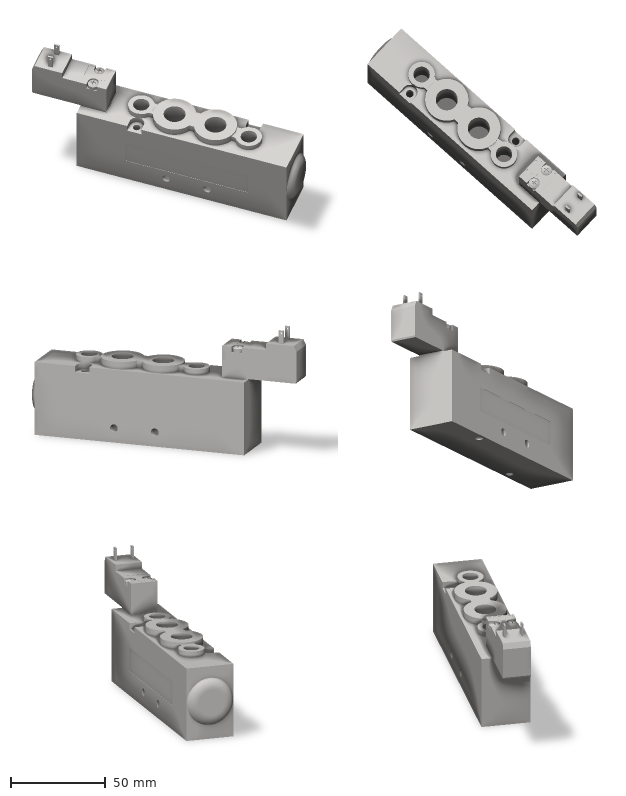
import cadquery as cq
import math


housing_length = 118.1
housing_width = 26.5
housing_height = 40.0

pattern_x = 61.8
main_port_pitch = 23.0
main_boss_diameter = 22.9
main_port_diameter = 11.6
main_boss_height = 4.0
main_web_width = 10.4
side_port_offset = (-30.8, 1.3)
side_boss_diameter = 14.0
side_port_diameter = 8.6
side_boss_height = 3.1
side_web_width = 7.5
side_web_offset_y = 0.7
side_web_fillet = 2.2
port_depth = 14.9

mount_offset = (-29.4, -9.4)
mount_hole_diameter = 4.0
mount_seat_width = 8.0
mount_seat_depth = 3.4

cross_hole_diameter = 4.3
cross_hole_z = 7.9
label_length = 69.2
label_height = 13.1
label_z = 20.0
label_depth = 0.1

dome_radius = 13.0
dome_height = 3.1
dome_flat_radius = 7.5
dome_z = 20.7

gasket_thickness = 0.5
gasket_overhang = 0.3

pilot_x = -27.3
pilot_length = 41.9
pilot_width = 15.0
pilot_height = 17.0
terminal_head_length = 17.1
terminal_head_rise = 3.5
head_bevel_length = 1.5
head_bevel_height = 3.0
bottom_bevel_length = 0.5
bottom_bevel_height = 0.9
pilot_bottom = housing_height + gasket_thickness
pilot_top = pilot_bottom + pilot_height
terminal_head_top = pilot_top + terminal_head_rise

panel_x = -0.1
panel_length = 14.0
panel_width = 13.0
panel_depth = 0.1
button_x = 10.0
button_diameter = 3.9

screw_x = 6.2
screw_y = 4.8
screw_diameter = 5.8
screw_seat_depth = 3.1
screw_edge_height = 2.1
screw_crown_height = 3.0
cross_slot_length = 3.1
cross_slot_width = 0.6
cross_slot_depth = 1.0

terminal_x = -17.8
terminal_y = 4.8
terminal_width = 2.7
terminal_thickness = 0.9
terminal_top = 68.0
terminal_hole_diameter = 1.0
terminal_hole_drop = 1.5



def box(x_start, length, y_middle, width, z_bottom, height):
    """Box from x_start along +X, centred on y_middle, standing on z_bottom."""
    return (
        cq.Workplane("XY")
        .box(length, width, height, centered=(False, True, False))
        .translate((x_start, y_middle, z_bottom))
    )


def upright_cylinder(x, y, diameter, z_bottom, height):
    return cq.Workplane("XY", origin=(x, y, z_bottom)).circle(diameter / 2).extrude(height)


def cylinder_along_y(x, z, diameter, y_middle, length):
    """Cylinder along Y, centred on y_middle."""
    return cq.Workplane("XZ", origin=(x, y_middle, z)).circle(diameter / 2).extrude(length / 2, both=True)


def half_turn(shape):
    """Copy of a shape turned half a turn about the middle of the port pattern."""
    return shape.rotate((pattern_x, 0, 0), (pattern_x, 0, 1), 180)



main_port_xs = [pattern_x - main_port_pitch / 2, pattern_x + main_port_pitch / 2]
side_port_x = pattern_x + side_port_offset[0]
side_port_y = side_port_offset[1]


def main_bosses():
    """Two large port rings joined by a web."""
    bosses = box(main_port_xs[0], main_port_pitch, 0, main_web_width, housing_height, main_boss_height)
    for x in main_port_xs:
        bosses = bosses.union(upright_cylinder(x, 0, main_boss_diameter, housing_height, main_boss_height))
    return bosses


def side_boss():
    """Small port ring on the -X side, with a filleted web that runs into the large ring."""
    web_length = main_port_xs[0] - side_port_x
    ring = upright_cylinder(side_port_x, side_port_y, side_boss_diameter, housing_height, side_boss_height)
    web = box(side_port_x, web_length, side_web_offset_y, side_web_width, housing_height, side_boss_height)
    boss_radius = side_boss_diameter / 2
    joint_edges = cq.selectors.BoxSelector(
        (side_port_x, side_port_y - boss_radius, housing_height),
        (side_port_x + boss_radius, side_port_y + boss_radius, housing_height + side_boss_height),
    )
    return ring.union(web).edges("|Z").edges(joint_edges).fillet(side_web_fillet)


def mount_cut():
    """Mounting hole through the housing and its U-shaped seat open to the -Y side."""
    x = pattern_x + mount_offset[0]
    y = mount_offset[1]
    seat_floor = housing_height - mount_seat_depth
    seat_height = mount_seat_depth + side_boss_height
    seat_x = x - mount_seat_width / 2
    run_out = housing_width / 2
    hole = upright_cylinder(x, y, mount_hole_diameter, 0, housing_height)
    seat_end = upright_cylinder(x, y, mount_seat_width, seat_floor, seat_height)
    seat_run = box(seat_x, mount_seat_width, y - run_out / 2, run_out, seat_floor, seat_height)
    return hole.union(seat_end).union(seat_run)


def port_hole(x, y, diameter):
    return upright_cylinder(x, y, diameter, housing_height - port_depth, port_depth + main_boss_height)


def end_dome():
    """Flat-topped cap with a rounded rim, turned about an axis along X."""
    rim_run = dome_radius - dome_flat_radius
    rim_radius = (rim_run**2 + dome_height**2) / (2 * dome_height)
    half_angle = math.asin(rim_run / rim_radius) / 2
    rim_middle_height = dome_height - rim_radius * (1 - math.cos(half_angle))
    rim_middle_radius = dome_flat_radius + rim_radius * math.sin(half_angle)
    return (
        cq.Workplane("XY")
        .lineTo(0, dome_radius)
        .threePointArc((rim_middle_height, rim_middle_radius), (dome_height, dome_flat_radius))
        .lineTo(dome_height, 0)
        .close()
        .revolve(360, (0, 0, 0), (1, 0, 0))
        .translate((housing_length, 0, dome_z))
    )


def make_housing():
    housing = box(0, housing_length, 0, housing_width, 0, housing_height)
    housing = housing.union(main_bosses()).union(end_dome())

    boss = side_boss()
    side_port = port_hole(side_port_x, side_port_y, side_port_diameter)
    mount = mount_cut()
    housing = housing.union(boss).union(half_turn(boss))
    for cut in (side_port, mount):
        housing = housing.cut(cut).cut(half_turn(cut))

    for x in main_port_xs:
        housing = housing.cut(port_hole(x, 0, main_port_diameter))
        housing = housing.cut(cylinder_along_y(x, cross_hole_z, cross_hole_diameter, 0, housing_width))

    label_x = pattern_x - label_length / 2
    label_y = -housing_width / 2
    label_bottom = label_z - label_height / 2
    return housing.cut(box(label_x, label_length, label_y, 2 * label_depth, label_bottom, label_height))




def make_gasket():
    length = pilot_x + pilot_length + gasket_overhang
    return box(0, length, 0, pilot_width, housing_height, gasket_thickness)




def pilot_block():
    """Stepped block with a bevelled -X end."""
    pilot_end = pilot_x + pilot_length
    step_x = pilot_x + terminal_head_length
    outline = [
        (pilot_x + bottom_bevel_length, pilot_bottom),
        (pilot_end, pilot_bottom),
        (pilot_end, pilot_top),
        (step_x, pilot_top),
        (step_x, terminal_head_top),
        (pilot_x + head_bevel_length, terminal_head_top),
        (pilot_x, terminal_head_top - head_bevel_height),
        (pilot_x, pilot_bottom + bottom_bevel_height),
    ]
    return cq.Workplane("XZ").polyline(outline).close().extrude(pilot_width / 2, both=True)


def top_panel():
    """Recess in the pilot top that leaves the button standing."""
    floor = pilot_top - panel_depth
    recess = box(panel_x, panel_length, 0, panel_width, floor, panel_depth)
    return recess.cut(upright_cylinder(button_x, 0, button_diameter, floor, panel_depth))


def screw_seat(side):
    """U-shaped seat open to one side of the pilot block; side is -1 or 1."""
    floor = pilot_top - screw_seat_depth
    y = side * screw_y
    seat_end = upright_cylinder(screw_x, y, screw_diameter, floor, screw_seat_depth)
    run_y = y + side * screw_diameter / 2
    run_x = screw_x - screw_diameter / 2
    seat_run = box(run_x, screw_diameter, run_y, screw_diameter, floor, screw_seat_depth)
    return seat_end.union(seat_run)


def screw_head(side):
    """Domed head with a cross slot."""
    y = side * screw_y
    floor = pilot_top - screw_seat_depth
    radius = screw_diameter / 2
    crown_rise = screw_crown_height - screw_edge_height
    crown_radius = (radius**2 + crown_rise**2) / (2 * crown_rise)
    half_angle = math.asin(radius / crown_radius) / 2
    arc_middle = (
        crown_radius * math.sin(half_angle),
        screw_crown_height - crown_radius * (1 - math.cos(half_angle)),
    )
    head = (
        cq.Workplane("XZ")
        .lineTo(radius, 0)
        .lineTo(radius, screw_edge_height)
        .threePointArc(arc_middle, (0, screw_crown_height))
        .close()
        .revolve(360, (0, 0, 0), (0, 1, 0))
        .translate((screw_x, y, floor))
    )
    slot_floor = floor + screw_crown_height - cross_slot_depth
    for length, width in ((cross_slot_length, cross_slot_width), (cross_slot_width, cross_slot_length)):
        head = head.cut(box(screw_x - length / 2, length, y, width, slot_floor, cross_slot_depth))
    return head


def terminal(side):
    """Flat blade with a small hole near its tip."""
    y = side * terminal_y
    blade_height = terminal_top - terminal_head_top
    blade_x = terminal_x - terminal_width / 2
    blade = box(blade_x, terminal_width, y, terminal_thickness, terminal_head_top, blade_height)
    hole_z = terminal_top - terminal_hole_drop
    return blade.cut(cylinder_along_y(terminal_x, hole_z, terminal_hole_diameter, y, terminal_thickness))


def make_pilot():
    pilot = pilot_block().cut(top_panel())
    for side in (-1, 1):
        pilot = pilot.cut(screw_seat(side)).union(screw_head(side)).union(terminal(side))
    return pilot



housing = make_housing()
gasket = make_gasket()
pilot = make_pilot()

result = cq.Compound.makeCompound([housing.solids().val(), gasket.solids().val(), pilot.solids().val()])